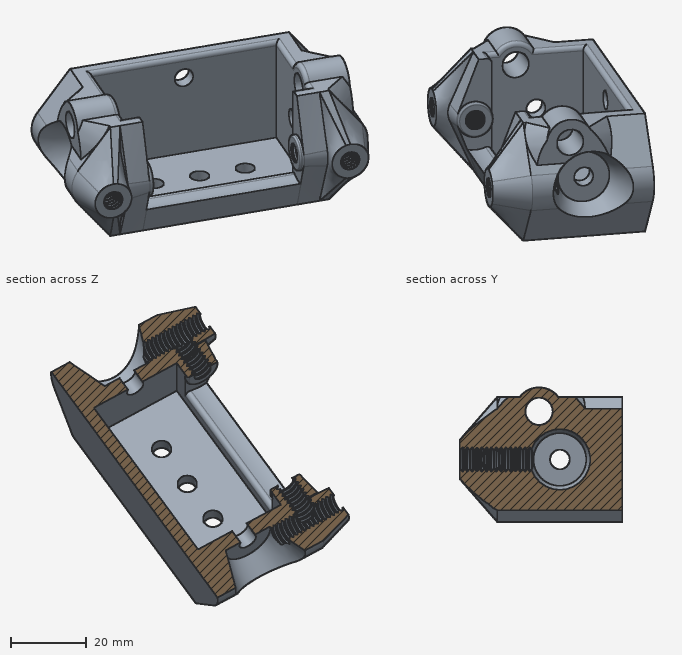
import cadquery as cq
import math

INCH = 25.4
BODY_X = 1.3 * INCH
BODY_Z = BODY_X
MID_X = BODY_X / 2
MID_Z = BODY_Z / 2
OUTER_Y = 1.625 * INCH
TOP_Y = 1.2 * INCH
NOSE_R = 7.94

POCKET_X0 = 3.68
POCKET_X1 = 29.45
POCKET_Y = 25.74
FLOOR_Z = 3.81
RIM_R = 1.27

RECESS_FLOOR_Y = 30.0
RECESS_FLOOR_R = 6.95
RECESS_OUTER_R = 10.85
PLAIN_HOLE_D = 5.11
FLOOR_HOLE_PITCH = INCH / 2
SIDE_HOLE_Z = 1.05 * INCH

EAR_R = 6.35
EAR_X = BODY_X * 2 / 3
EAR_Z = 1.15 * INCH
EAR_Y = 37.95
PIN_HOLE_D = 7.14
EAR_FLARE = 6.7
FLARE_LEFT = ((17.1, BODY_Z), (14.2, 29.7), (11.0, 23.0))
FLARE_RIGHT = ((25.5, BODY_Z), (29.3, 28.7), (31.0, 23.0))

ARM_INNER_Y = 27.8
TIP_X = 42.98
TIP_R = 5.08
TIP_Y = 1.3 * INCH
TIP_INNER_ANGLE = 104
SEAT_X = 34.15
SEAT_R = 4.85
SEAT_FACE_Y = 0.8 * INCH
SEAT_ROUND = 0.5
WEB_Y = 21.5
WEB_ROOT_R = 5.75
WINDOW_R = 8.7

THREAD_MINOR_R = 5.12 / 2
THREAD_MAJOR_R = 6.35 / 2
THREAD_PITCH = INCH / 20
CREST_FLAT = THREAD_PITCH / 4
ROOT_FLAT = 0.025

CUT_MARGIN = 1.0


def point_on(center, radius, angle):
    return (center[0] + radius * math.cos(angle), center[1] + radius * math.sin(angle))


def tangent_angle(corner, center, radius):
    """Angle of the tangent point, on the outer side, of a line from corner to a circle."""
    dx = corner[0] - center[0]
    dz = corner[1] - center[1]
    return math.atan2(dz, dx) - math.acos(radius / math.hypot(dx, dz))


NOSE_CENTER = (OUTER_Y - NOSE_R, MID_Z)
NOSE_ANGLE = tangent_angle((TOP_Y, BODY_Z), NOSE_CENTER, NOSE_R)


def both_ends(solid):
    """The solid together with its mirror image across Y = 0."""
    return solid.union(solid.mirror("XZ"))


def make_block():
    """Block with sloped ends rounded at mid height."""
    upper = point_on(NOSE_CENTER, NOSE_R, NOSE_ANGLE)
    lower = point_on(NOSE_CENTER, NOSE_R, -NOSE_ANGLE)
    return (
        cq.Workplane("YZ")
        .moveTo(-TOP_Y, 0)
        .lineTo(TOP_Y, 0)
        .lineTo(*lower)
        .threePointArc((OUTER_Y, MID_Z), upper)
        .lineTo(TOP_Y, BODY_Z)
        .lineTo(-TOP_Y, BODY_Z)
        .lineTo(-upper[0], upper[1])
        .threePointArc((-OUTER_Y, MID_Z), (-lower[0], lower[1]))
        .close()
        .extrude(BODY_X)
    )


def vec(x, point):
    return cq.Vector(x, point[0], point[1])


def make_arm():
    """Arm that runs from the +Y end profile down to a round tip."""
    center = (TIP_Y, MID_Z)
    root = [
        (ARM_INNER_Y, 0),
        (TOP_Y, 0),
        point_on(NOSE_CENTER, NOSE_R, -NOSE_ANGLE),
        point_on(NOSE_CENTER, NOSE_R, NOSE_ANGLE),
        (TOP_Y, BODY_Z),
        (ARM_INNER_Y, BODY_Z),
    ]
    quarter = math.pi / 2
    inner_angle = math.radians(TIP_INNER_ANGLE)
    angles = [-inner_angle, -quarter, -NOSE_ANGLE, NOSE_ANGLE, quarter, inner_angle]
    nose_index = 2
    root_edges = []
    tip_edges = []
    for i, start in enumerate(root):
        j = (i + 1) % len(root)
        if i == nose_index:
            nose = vec(BODY_X, (OUTER_Y, MID_Z))
            edge = cq.Edge.makeThreePointArc(vec(BODY_X, start), nose, vec(BODY_X, root[j]))
        else:
            edge = cq.Edge.makeLine(vec(BODY_X, start), vec(BODY_X, root[j]))
        root_edges.append(edge)
        end_angle = angles[j] if j else angles[j] + 2 * math.pi
        tip_points = [
            vec(TIP_X, point_on(center, TIP_R, a))
            for a in (angles[i], (angles[i] + end_angle) / 2, end_angle)
        ]
        tip_edges.append(cq.Edge.makeThreePointArc(*tip_points))
    wires = [cq.Wire.assembleEdges(edges) for edges in (root_edges, tip_edges)]
    return cq.Workplane(cq.Solid.makeLoft(wires, True))


def web_wire(y, nose_r):
    """Web section: the block side face tapering to a round nose around the seat axis."""
    center = (SEAT_X, MID_Z)
    angle = tangent_angle((BODY_X, BODY_Z), center, nose_r)
    upper = point_on(center, nose_r, angle)
    lower = point_on(center, nose_r, -angle)
    plane = cq.Plane(origin=(0, y, 0), xDir=(1, 0, 0), normal=(0, -1, 0))
    return (
        cq.Workplane(plane)
        .moveTo(BODY_X, 0)
        .lineTo(*lower)
        .threePointArc((SEAT_X + nose_r, MID_Z), upper)
        .lineTo(BODY_X, BODY_Z)
        .close()
        .val()
    )


def make_web():
    """Web that joins the arm to the long side bar."""
    end_web = cq.Solid.makeLoft([web_wire(WEB_Y, SEAT_R), web_wire(ARM_INNER_Y, WEB_ROOT_R)], True)
    return cq.Workplane(end_web)


def make_bar():
    """Tapered side bar between the two webs."""
    bar_wires = [web_wire(WEB_Y, SEAT_R), web_wire(-WEB_Y, SEAT_R)]
    return cq.Workplane(cq.Solid.makeLoft(bar_wires, True))


def y_cylinder(x, z, radius, y0, y1):
    return cq.Workplane(cq.Solid.makeCylinder(radius, y1 - y0, cq.Vector(x, y0, z), cq.Vector(0, 1, 0)))


def flare_wire(y, growth):
    """Ear root section with curved flanks, widened by growth on both sides."""
    left_top, left_mid, left_low = FLARE_LEFT
    right_top, right_mid, right_low = FLARE_RIGHT
    plane = cq.Plane(origin=(0, y, 0), xDir=(1, 0, 0), normal=(0, -1, 0))
    return (
        cq.Workplane(plane)
        .moveTo(left_top[0] - growth, left_top[1])
        .threePointArc((left_mid[0] - growth, left_mid[1]), (left_low[0] - growth, left_low[1]))
        .lineTo(right_low[0] + growth, right_low[1])
        .threePointArc((right_mid[0] + growth, right_mid[1]), (right_top[0] + growth, right_top[1]))
        .close()
        .val()
    )


def make_ear():
    """Round ear on a flared root that stands on the sloped end."""
    barrel = y_cylinder(EAR_X, EAR_Z, EAR_R, POCKET_Y, EAR_Y)
    flare = cq.Workplane(cq.Solid.makeLoft([flare_wire(EAR_Y, 0), flare_wire(TOP_Y, EAR_FLARE)], True))
    side_limit = cq.Workplane().box(BODY_X, OUTER_Y, BODY_Z, centered=False)
    return barrel.union(flare.intersect(side_limit))


def make_pocket():
    size_x = POCKET_X1 - POCKET_X0
    return (
        cq.Workplane()
        .box(size_x, 2 * POCKET_Y, BODY_Z, centered=(False, True, False))
        .translate((POCKET_X0, 0, FLOOR_Z))
    )


def make_window():
    """Opening in the side wall with a concave floor."""
    tool = y_cylinder(SEAT_X, MID_Z, WINDOW_R, -WEB_Y, WEB_Y)
    upper = (
        cq.Workplane()
        .box(2 * WINDOW_R, 2 * WEB_Y, BODY_Z, centered=(True, True, False))
        .translate((SEAT_X, 0, MID_Z))
    )
    return tool.union(upper)


def make_seat():
    """Raised round seat on the web."""
    seat = y_cylinder(SEAT_X, MID_Z, SEAT_R, SEAT_FACE_Y, WEB_Y)
    return seat.faces("<Y").edges().fillet(SEAT_ROUND)


def make_recess():
    """Conical recess in the end."""
    slope = (RECESS_OUTER_R - RECESS_FLOOR_R) / (OUTER_Y - RECESS_FLOOR_Y)
    tool_r = RECESS_OUTER_R + slope * CUT_MARGIN
    depth = OUTER_Y + CUT_MARGIN - RECESS_FLOOR_Y
    floor_center = cq.Vector(MID_X, RECESS_FLOOR_Y, MID_Z)
    return cq.Workplane(cq.Solid.makeCone(RECESS_FLOOR_R, tool_r, depth, floor_center, cq.Vector(0, 1, 0)))


def make_thread(length):
    """Threaded hole tool along +Z from the origin: one ring groove per pitch."""
    profile = cq.Workplane("XZ").moveTo(0, 0).lineTo(THREAD_MINOR_R, 0)
    flank = (THREAD_PITCH - CREST_FLAT - ROOT_FLAT) / 2
    for i in range(int(length / THREAD_PITCH)):
        crest_end = i * THREAD_PITCH + CREST_FLAT
        profile = (
            profile.lineTo(THREAD_MINOR_R, crest_end)
            .lineTo(THREAD_MAJOR_R, crest_end + flank)
            .lineTo(THREAD_MAJOR_R, crest_end + flank + ROOT_FLAT)
            .lineTo(THREAD_MINOR_R, (i + 1) * THREAD_PITCH)
        )
    return (
        profile.lineTo(THREAD_MINOR_R, length)
        .lineTo(0, length)
        .close()
        .revolve(360, (0, 0, 0), (0, 1, 0))
    )


def make_screw_holes():
    """Threaded hole from the tip into the recess, crossed by one from the seat."""
    tip_length = TIP_X - (MID_X + RECESS_FLOOR_R)
    tip_hole = make_thread(tip_length).rotate((0, 0, 0), (0, 1, 0), -90).translate((TIP_X, TIP_Y, MID_Z))
    seat_length = TIP_Y - SEAT_FACE_Y
    seat_hole = make_thread(seat_length).rotate((0, 0, 0), (1, 0, 0), -90)
    return tip_hole.union(seat_hole.translate((SEAT_X, SEAT_FACE_Y, MID_Z)))


def make_plain_holes():
    radius = PLAIN_HOLE_D / 2
    holes = y_cylinder(MID_X, MID_Z, radius, -OUTER_Y, OUTER_Y)
    for i in (-1, 0, 1):
        floor_hole = cq.Workplane().circle(radius).extrude(2 * FLOOR_Z)
        holes = holes.union(floor_hole.translate((MID_X, i * FLOOR_HOLE_PITCH, -FLOOR_Z / 2)))
    side_hole = cq.Workplane("YZ").center(0, SIDE_HOLE_Z).circle(radius).extrude(POCKET_X0 + CUT_MARGIN)
    pin_hole = y_cylinder(EAR_X, EAR_Z, PIN_HOLE_D / 2, -OUTER_Y, OUTER_Y)
    return holes.union(side_hole).union(pin_hole)


def round_rim(solid):
    """Round the pocket rim on the top face, over the ears and along the window."""
    eps = 0.01
    pocket_box = cq.selectors.BoxSelector(
        (POCKET_X0 - eps, -POCKET_Y - eps, FLOOR_Z + eps),
        (POCKET_X1 + eps, POCKET_Y + eps, BODY_Z + EAR_R),
    )
    rim = []
    for edge in solid.edges(pocket_box).vals():
        bounds = edge.BoundingBox()
        on_top = bounds.zmin > BODY_Z - eps
        on_window_floor = abs(bounds.xmin - POCKET_X1) < eps and bounds.ylen > WEB_Y and bounds.zmax < MID_Z
        on_pocket_wall = bounds.xlen < eps or bounds.ylen < eps
        if on_pocket_wall and (on_top or on_window_floor):
            rim.append(edge)
    return solid.newObject(rim).fillet(RIM_R)


body = make_block().union(make_bar())
body = body.union(both_ends(make_web())).union(both_ends(make_arm())).union(both_ends(make_ear()))
body = body.cut(make_pocket()).cut(make_window())
body = round_rim(body)
body = body.union(both_ends(make_seat()))
body = body.cut(both_ends(make_recess())).cut(make_plain_holes())
result = body.cut(both_ends(make_screw_holes()))